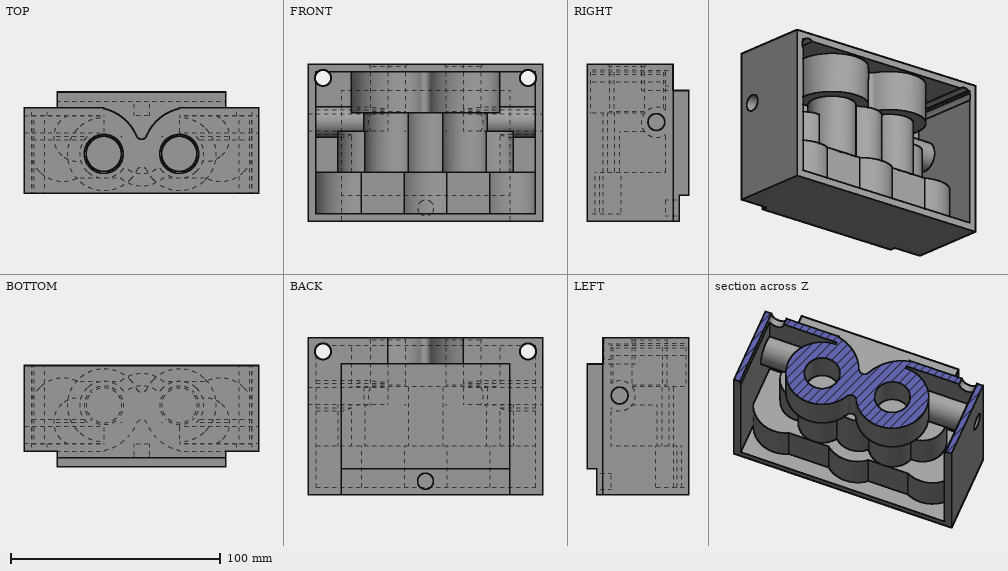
import cadquery as cq
import math

WIDTH = 112.0
HEIGHT = 75.0
BOX_DEPTH = 41.0
TOTAL_DEPTH = 48.5
WALL = 3.7

PLATE_WIDTH = 80.6
PLATE_BOTTOM = 12.3
PLATE_TOP = 62.5
LEDGE_DEPTH = 3.0

PORT_X = 18.0
PORT_Y = 18.9
PORT_RADIUS = 8.4
PORT_CHAMFER = 0.9
PORT_DEPTH = 22.4

BOSS_RADIUS = 17.5
BOSS_BOTTOM = 51.7
NOTCH_ARC_RADIUS = 22.2
NOTCH_ARC_X = 22.8
VALLEY_RADIUS = 2.6

COLUMN_RADIUS = 11.5
CENTRE_COLUMN_Y = 21.0
SIDE_POST_X = 30.5
SIDE_POST_Y = 26.9
SIDE_POST_TOP = 43.0

BASE_TOP = 23.3
BASE_FRONT = 7.5
LOBE_RADIUS = 15.7
CENTRE_LOBE_Y = 19.4
SIDE_LOBE_X = 37.6
SIDE_LOBE_Y = 21.5

PASSAGE_Y = 33.0
PASSAGE_Z = 47.4
PASSAGE_RADIUS = 4.0
PASSAGE_TUBE_RADIUS = 7.3

MOUNT_RADIUS = 3.8
MOUNT_X = 49.0
MOUNT_Z = 68.4
LEDGE_HOLE_Z = 6.5

CEILING = HEIGHT - WALL
BACK_INNER = BOX_DEPTH - WALL
INNER_HALF_WIDTH = WIDTH / 2 - WALL
SIDES = (-1, 1)


def block(x_size, y_start, y_end, z_start, z_end):
    """Box centred on x = 0 between the given y and z limits."""
    size = (x_size, y_end - y_start, z_end - z_start)
    return cq.Workplane("XY").box(*size, centered=(True, False, False)).translate((0, y_start, z_start))


def post(x, y, radius, z_start, z_end):
    """Vertical cylinder."""
    return cq.Workplane("XY", origin=(x, y, z_start)).circle(radius).extrude(z_end - z_start)


def gap_between_circles(circle_x, circle_radius, half_width, direction, y_end, z_start, z_end):
    """Prism filling the gap between twin circles, with a rounded valley tangent to both.

    The gap opens towards +Y or -Y (direction) and reaches y_end.
    """
    valley_offset = math.sqrt((circle_radius + VALLEY_RADIUS) ** 2 - circle_x**2)
    tangent_share = circle_radius / (circle_radius + VALLEY_RADIUS)
    tangent_x = circle_x * (1 - tangent_share)
    tangent_y = PORT_Y + direction * valley_offset * tangent_share
    valley_y = PORT_Y + direction * (valley_offset - VALLEY_RADIUS)

    shoulder_y = PORT_Y + direction * math.sqrt(circle_radius**2 - (circle_x - half_width) ** 2)
    mid_x = (half_width + tangent_x) / 2
    mid_y = PORT_Y + direction * math.sqrt(circle_radius**2 - (circle_x - mid_x) ** 2)
    return (
        cq.Workplane("XY", origin=(0, 0, z_start))
        .moveTo(-half_width, y_end)
        .lineTo(-half_width, shoulder_y)
        .threePointArc((-mid_x, mid_y), (-tangent_x, tangent_y))
        .threePointArc((0, valley_y), (tangent_x, tangent_y))
        .threePointArc((mid_x, mid_y), (half_width, shoulder_y))
        .lineTo(half_width, y_end)
        .close()
        .extrude(z_end - z_start)
    )


def make_housing():
    shell = block(WIDTH, 0, BOX_DEPTH, 0, HEIGHT)
    cavity = block(2 * INNER_HALF_WIDTH, 0, BACK_INNER, WALL, CEILING)
    plate = block(PLATE_WIDTH, BOX_DEPTH, TOTAL_DEPTH, PLATE_BOTTOM, PLATE_TOP)
    ledge = block(PLATE_WIDTH, BOX_DEPTH, BOX_DEPTH + LEDGE_DEPTH, 0, PLATE_BOTTOM)
    return shell.cut(cavity).union(plate).union(ledge)


def make_twin_boss():
    """Two round bosses joined by a web whose front is a rounded valley."""
    boss_front = PORT_Y - BOSS_RADIUS
    boss = block(2 * PORT_X, boss_front, BACK_INNER, BOSS_BOTTOM, CEILING)
    valley = gap_between_circles(PORT_X, BOSS_RADIUS, PORT_X, -1, boss_front - WALL, BOSS_BOTTOM, CEILING)
    boss = boss.cut(valley)
    for side in SIDES:
        boss = boss.union(post(side * PORT_X, PORT_Y, BOSS_RADIUS, BOSS_BOTTOM, CEILING))
    return boss


def make_columns():
    columns = post(0, CENTRE_COLUMN_Y, COLUMN_RADIUS, BASE_TOP, BOSS_BOTTOM)
    for side in SIDES:
        columns = columns.union(post(side * PORT_X, PORT_Y, COLUMN_RADIUS, BASE_TOP, BOSS_BOTTOM))
        columns = columns.union(post(side * SIDE_POST_X, SIDE_POST_Y, COLUMN_RADIUS, BASE_TOP, SIDE_POST_TOP))

    web_front = SIDE_POST_Y - COLUMN_RADIUS
    web = block(2 * SIDE_POST_X, web_front, BACK_INNER, BASE_TOP, SIDE_POST_TOP)
    return columns.union(web)


def make_base():
    base = block(2 * SIDE_LOBE_X, BASE_FRONT, BACK_INNER, WALL, BASE_TOP)
    base = base.union(block(2 * INNER_HALF_WIDTH, SIDE_LOBE_Y, BACK_INNER, WALL, BASE_TOP))
    lobe_centres = [(0, CENTRE_LOBE_Y), (-SIDE_LOBE_X, SIDE_LOBE_Y), (SIDE_LOBE_X, SIDE_LOBE_Y)]
    for x, y in lobe_centres:
        base = base.union(post(x, y, LOBE_RADIUS, WALL, BASE_TOP))
    return base


def make_passage_tube():
    """Horizontal cylinder along the back wall, from side to side."""
    start = cq.Workplane("YZ", origin=(0, PASSAGE_Y, PASSAGE_Z))
    return start.circle(PASSAGE_TUBE_RADIUS).extrude(WIDTH / 2, both=True)


def side_passage(side):
    """Blind horizontal hole from a side face towards the port column."""
    start = cq.Workplane("YZ", origin=(side * WIDTH / 2, PASSAGE_Y, PASSAGE_Z))
    return start.circle(PASSAGE_RADIUS).extrude(-side * (WIDTH / 2 - PORT_X))


def make_port(x):
    """Blind port with a chamfered mouth."""
    bore = post(x, PORT_Y, PORT_RADIUS, HEIGHT - PORT_DEPTH, HEIGHT)
    mouth_radius = PORT_RADIUS + PORT_CHAMFER
    cone_base = cq.Vector(x, PORT_Y, HEIGHT - PORT_CHAMFER)
    cone = cq.Solid.makeCone(PORT_RADIUS, mouth_radius, PORT_CHAMFER, cone_base)
    return bore.union(cq.Workplane(cone))


def hole_along_y(x, z, y_start, y_end):
    start = cq.Workplane("XZ", origin=(x, y_start, z))
    return start.circle(MOUNT_RADIUS).extrude(y_start - y_end)


inside = make_twin_boss().union(make_columns()).union(make_base())
inside = inside.union(make_passage_tube())
result = make_housing().union(inside.intersect(block(WIDTH, 0, BOX_DEPTH, 0, HEIGHT)))

notch = gap_between_circles(NOTCH_ARC_X, NOTCH_ARC_RADIUS, PORT_X, 1, TOTAL_DEPTH, PLATE_TOP, HEIGHT)
result = result.cut(notch)
for side in SIDES:
    result = result.cut(make_port(side * PORT_X))
    result = result.cut(side_passage(side))
    result = result.cut(hole_along_y(side * MOUNT_X, MOUNT_Z, 0, BOX_DEPTH))

result = result.cut(hole_along_y(0, LEDGE_HOLE_Z, BACK_INNER, BOX_DEPTH + LEDGE_DEPTH))